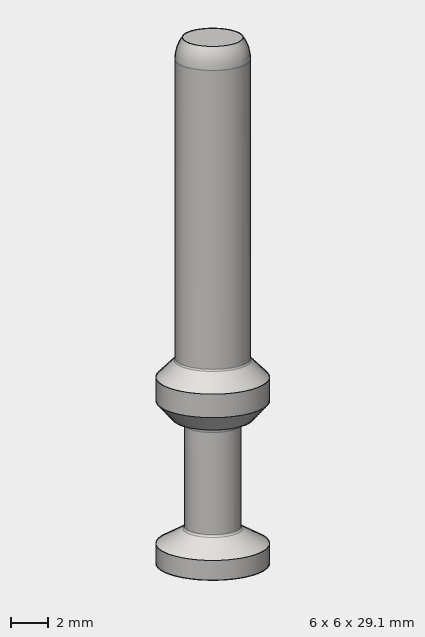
import cadquery as cq
import math


flange_radius = 3.0
neck_radius = 1.5
shank_radius = 2.0
collar_underside_radius = 2.15

foot_rim_top = 1.1
collar_bottom = 8.05
collar_rim_bottom = 9.0
collar_rim_top = 10.3
tip_start = 27.9
total_height = 29.1

foot_cone_angle = math.radians(30)
collar_cone_angle = math.radians(45)

cone_fillet_radius = 0.15
undercollar_fillet_radius = 0.35

foot_cone_top = foot_rim_top + (flange_radius - neck_radius) * math.tan(foot_cone_angle)
collar_cone_top = collar_rim_top + (flange_radius - shank_radius) * math.tan(collar_cone_angle)

tip_height = total_height - tip_start
tip_angle = math.asin(tip_height / shank_radius)


def tip_point(angle):
    """Profile point on the spherical tip at an elevation angle from its centre."""
    radial = shank_radius * math.cos(angle)
    height = tip_start + shank_radius * math.sin(angle)
    return (radial, height)


def make_pin():
    """Revolve the half profile with sharp inner corners."""
    profile = (
        cq.Workplane("XZ")
        .lineTo(flange_radius, 0)
        .lineTo(flange_radius, foot_rim_top)
        .lineTo(neck_radius, foot_cone_top)
        .lineTo(neck_radius, collar_bottom)
        .lineTo(collar_underside_radius, collar_bottom)
        .lineTo(flange_radius, collar_rim_bottom)
        .lineTo(flange_radius, collar_rim_top)
        .lineTo(shank_radius, collar_cone_top)
        .lineTo(shank_radius, tip_start)
        .threePointArc(tip_point(tip_angle / 2), tip_point(tip_angle))
        .lineTo(0, total_height)
        .close()
    )
    return profile.revolve(360, (0, 0, 0), (0, 1, 0))


def fillet_corner(pin, corner_height, fillet_radius):
    """Round the circular inner corner that lies at the given height."""
    margin = 0.01
    half_reach = flange_radius + margin
    corner = cq.selectors.BoxSelector(
        (-half_reach, -half_reach, corner_height - margin),
        (half_reach, half_reach, corner_height + margin),
        boundingbox=True,
    )
    inner_corner = pin.edges("%CIRCLE").edges(corner).edges(cq.selectors.RadiusNthSelector(0))
    return inner_corner.fillet(fillet_radius)


result = make_pin()
result = fillet_corner(result, foot_cone_top, cone_fillet_radius)
result = fillet_corner(result, collar_bottom, undercollar_fillet_radius)
result = fillet_corner(result, collar_cone_top, cone_fillet_radius)